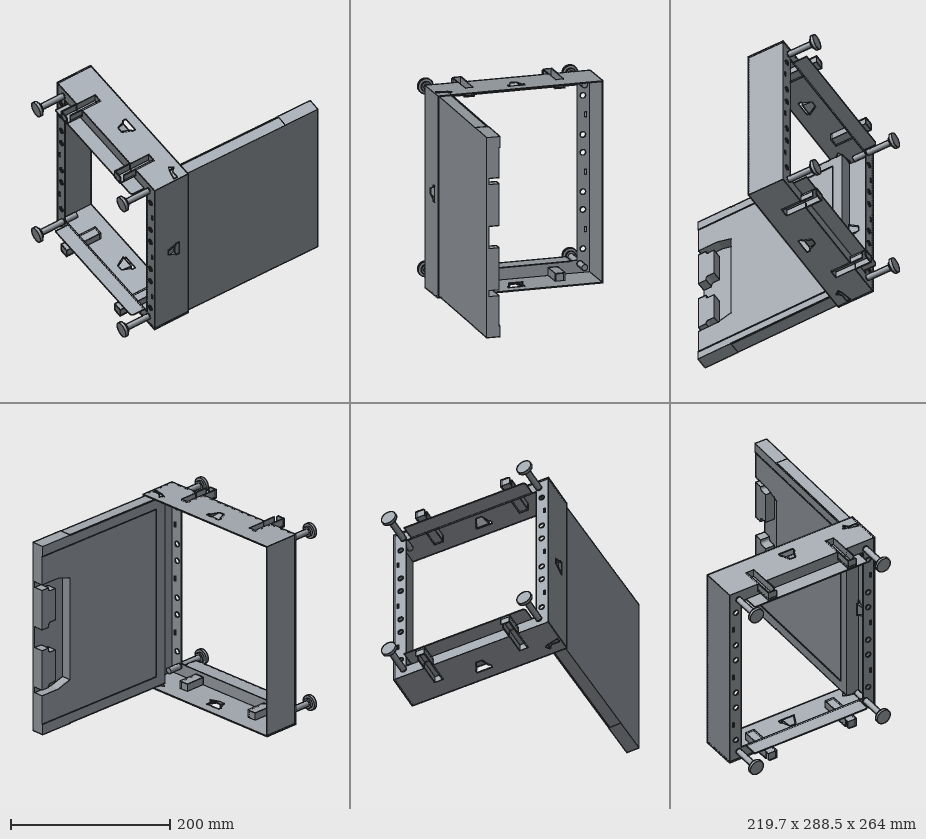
import cadquery as cq
import math

FRAME_WIDTH = 219.0
FRAME_HEIGHT = 264.0
FRAME_DEPTH = 51.3
SHEET = 1.3
RIM = 17.5
MID_X = FRAME_WIDTH / 2
MID_Z = FRAME_HEIGHT / 2

HOLE_DIAMETER = 7.2
HOLE_INSET = 9.8
HOLE_OFFSETS = (25.7, 49.0, 100.0)
SLOT_WIDTH = 2.3
SLOT_HEIGHT = 6.3
SLOT_INSET = 6.0
SLOT_PITCH = 75.0

TONGUE_LENGTH = 19.3
TONGUE_LEFT = 25.0
TONGUE_RIGHT = FRAME_WIDTH - 23.5
TONGUE_CORNER = 4.0

CLIP_SPACING = 120.0
CLIP_WIDTH = 13.0
CLIP_HEIGHT = 11.5
CLIP_FRONT = -23.0
CLIP_BACK = 29.0
CLIP_GAP = 4.5
CLIP_CORNER = 2.0

LOUVER_HINGE_Y = 21.3
LOUVER_TIP_Y = 33.0
LOUVER_SLOT_BACK = 37.8
LOUVER_HINGE_WIDTH = 9.8
LOUVER_TIP_WIDTH = 19.0
LOUVER_SLOT_WIDTH = 21.3
LOUVER_DEPTH = 4.5

HINGE_HEAD = [(195.2, 37.5), (199.3, 43.0), (204.2, 37.2), (200.7, 35.0)]
HINGE_TAIL = [(200.7, 35.0), (204.2, 37.2), (215.5, 37.2), (215.5, 31.7)]

FOOT_INSET_X = 13.8
FOOT_INSET_Z = 12.7
SHANK_DIAMETER = 7.8
SHANK_INSIDE = 20.0
FOOT_REACH = 41.0
COLLAR_DIAMETER = 13.0
COLLAR_THICKNESS = 3.0
PAD_DIAMETER = 20.0
PAD_THICKNESS = 4.0

DOOR_LENGTH = 214.0
DOOR_THICKNESS = 17.5
DOOR_HEIGHT = FRAME_HEIGHT - 2 * SHEET
DOOR_ANGLE = 1.0
DOOR_RIGHT = 219.7
DOOR_BACK = 247.5
DOOR_BORDER = 14.5
PANEL_RECESS = 1.2
SIDE_STEP_WIDTH = 1.7
EDGE_STEP_DEPTH = 0.3

RECESS_LENGTH = 48.7
RECESS_STRAIGHT = 28.3
RECESS_HALF_HEIGHT = 77.0
RECESS_HALF_FLOOR = 70.6
RECESS_FLOOR = 3.2
GRIP_LENGTH = 23.5
GRIP_HEAD = 11.5
GRIP_OUTER = 69.2
GRIP_INNER = 14.5
GRIP_OUTER_STEP = 5.0
GRIP_INNER_STEP = 6.3
GRIP_FILLET = 3.5


def box(x0, x1, y0, y1, z0, z1):
    """Box between two opposite corners."""
    return cq.Workplane("XY").box(x1 - x0, y1 - y0, z1 - z0, centered=False).translate((x0, y0, z0))


def mirrored_down(shape):
    """The same feature on the bottom of the frame, mirrored about mid-height."""
    return shape.mirror("XY", (0, 0, MID_Z))


def turned_over(shape):
    """The same feature on the bottom of the frame, turned half round about the frame's Y axis."""
    return shape.rotate((MID_X, 0, MID_Z), (MID_X, 1, MID_Z), 180)


def frame_shell():
    """Four walls open at the back, with a flange all round the front."""
    outer = box(0, FRAME_WIDTH, 0, FRAME_DEPTH, 0, FRAME_HEIGHT)
    inside = box(SHEET, FRAME_WIDTH - SHEET, SHEET, FRAME_DEPTH, SHEET, FRAME_HEIGHT - SHEET)
    opening = box(RIM, FRAME_WIDTH - RIM, 0, SHEET, RIM, FRAME_HEIGHT - RIM)
    return outer.cut(inside).cut(opening)


def flange_holes():
    """Round holes and small slots through both side flanges."""
    cuts = cq.Workplane("XY")
    for side in (-1, 1):
        hole_x = MID_X + side * (MID_X - HOLE_INSET)
        slot_x = MID_X + side * (MID_X - SLOT_INSET)
        for offset in HOLE_OFFSETS:
            for z in (MID_Z - offset, MID_Z + offset):
                hole = cq.Workplane("XZ", origin=(hole_x, SHEET, z)).circle(HOLE_DIAMETER / 2).extrude(SHEET)
                cuts = cuts.add(hole)
        for step in (-1, 0, 1):
            slot = cq.Workplane("XY").box(SLOT_WIDTH, 2 * SHEET, SLOT_HEIGHT)
            cuts = cuts.add(slot.translate((slot_x, SHEET / 2, MID_Z + step * SLOT_PITCH)))
    return cuts.combine()


def top_tongue():
    """Flat lip reaching forward from the lower edge of the top rail."""
    z = FRAME_HEIGHT - RIM
    lip = box(TONGUE_LEFT, TONGUE_RIGHT, -TONGUE_LENGTH, SHEET, z, z + SHEET)
    return lip.edges("|Z and >X and <Y").fillet(TONGUE_CORNER)


def clip_body(x):
    """Outer block of a top clip centred on x."""
    half = CLIP_WIDTH / 2
    return box(x - half, x + half, CLIP_FRONT, CLIP_BACK, FRAME_HEIGHT - CLIP_HEIGHT, FRAME_HEIGHT)


def clip_hollow(x):
    """Inside of a top clip: open at the top, with a gap in the +X wall behind the end wall."""
    half = CLIP_WIDTH / 2
    floor = FRAME_HEIGHT - CLIP_HEIGHT + SHEET
    end = CLIP_FRONT + SHEET
    trough = box(x - half + SHEET, x + half - SHEET, end, CLIP_BACK - SHEET, floor, FRAME_HEIGHT)
    gap = box(x, x + half, end, end + CLIP_GAP, floor, FRAME_HEIGHT)
    corner = (
        cq.Workplane("XZ", origin=(x + half, end, FRAME_HEIGHT))
        .polyline([(0, 0), (-CLIP_CORNER, 0), (0, -CLIP_CORNER)])
        .close()
        .extrude(SHEET)
    )
    return trough.union(gap).union(corner)


def louver_wedge(inset):
    """Wedge deepening from the hinge to the tip of a top louver, its sides moved in by inset."""
    hinge_half = LOUVER_HINGE_WIDTH / 2 - inset
    tip_half = LOUVER_TIP_WIDTH / 2 - inset
    plan = [
        (MID_X - hinge_half, LOUVER_HINGE_Y),
        (MID_X + hinge_half, LOUVER_HINGE_Y),
        (MID_X + tip_half, LOUVER_TIP_Y),
        (MID_X - tip_half, LOUVER_TIP_Y),
    ]
    prism = cq.Workplane("XY", origin=(0, 0, FRAME_HEIGHT)).polyline(plan).close()
    prism = prism.extrude(-2 * LOUVER_DEPTH)
    profile = [
        (LOUVER_HINGE_Y, 0),
        (LOUVER_HINGE_Y, -SHEET),
        (LOUVER_TIP_Y, -SHEET - LOUVER_DEPTH),
        (LOUVER_TIP_Y, 0),
    ]
    slope = cq.Workplane("YZ", origin=(0, 0, FRAME_HEIGHT)).polyline(profile).close().extrude(FRAME_WIDTH)
    return prism.intersect(slope)


def louver_hollow():
    """Space above a top louver's flap, and the slot behind its tip."""
    half = LOUVER_SLOT_WIDTH / 2
    slot = box(
        MID_X - half, MID_X + half, LOUVER_TIP_Y, LOUVER_SLOT_BACK, FRAME_HEIGHT - SHEET, FRAME_HEIGHT
    )
    return louver_wedge(SHEET).translate((0, 0, SHEET)).union(slot)


def on_right_wall(shape):
    """Turn a top feature onto the right wall, at mid-height."""
    turned = shape.rotate((MID_X, 0, FRAME_HEIGHT), (MID_X, 1, FRAME_HEIGHT), 90)
    return turned.translate((MID_X, 0, MID_Z - FRAME_HEIGHT))


def hinge_opening():
    """Opening through the top plate over the door's front edge."""
    plane = cq.Workplane("XY", origin=(0, 0, FRAME_HEIGHT - SHEET))
    head = plane.polyline(HINGE_HEAD).close().extrude(SHEET)
    tail = plane.polyline(HINGE_TAIL).close().extrude(SHEET)
    return head.union(tail)


def screw_foot(x, z):
    """Shank through the front flange, with a collar and a round pad at its front end."""
    pad_back = -FOOT_REACH + PAD_THICKNESS
    collar_back = pad_back + COLLAR_THICKNESS

    def disc(diameter, front, back):
        return cq.Workplane("XZ", origin=(x, back, z)).circle(diameter / 2).extrude(back - front)

    shank = disc(SHANK_DIAMETER, pad_back, SHANK_INSIDE)
    collar = disc(COLLAR_DIAMETER, pad_back, collar_back)
    pad = disc(PAD_DIAMETER, -FOOT_REACH, pad_back)
    return shank.union(collar).union(pad)


def make_frame():
    frame = frame_shell().cut(flange_holes())
    tongue = top_tongue()
    frame = frame.union(tongue).union(mirrored_down(tongue))

    for x in (MID_X - CLIP_SPACING / 2, MID_X + CLIP_SPACING / 2):
        frame = frame.union(clip_body(x)).union(turned_over(clip_body(x)))
        frame = frame.cut(clip_hollow(x)).cut(turned_over(clip_hollow(x)))

    flap = louver_wedge(0)
    hollow = louver_hollow()
    for place in (lambda top: top, mirrored_down, on_right_wall):
        frame = frame.union(place(flap)).cut(place(hollow))

    frame = frame.cut(hinge_opening()).cut(mirrored_down(hinge_opening()))

    for x in (FOOT_INSET_X, FRAME_WIDTH - FOOT_INSET_X):
        for z in (FOOT_INSET_Z, FRAME_HEIGHT - FOOT_INSET_Z):
            frame = frame.union(screw_foot(x, z))
    return frame


def handle_recess():
    """Tapered pocket open at the far end of the door."""
    far = DOOR_LENGTH
    outline = [
        (far, RECESS_HALF_HEIGHT),
        (far - RECESS_STRAIGHT, RECESS_HALF_HEIGHT),
        (far - RECESS_LENGTH, RECESS_HALF_FLOOR),
        (far - RECESS_LENGTH, -RECESS_HALF_FLOOR),
        (far - RECESS_STRAIGHT, -RECESS_HALF_HEIGHT),
        (far, -RECESS_HALF_HEIGHT),
    ]
    return cq.Workplane("YZ").polyline(outline).close().extrude(DOOR_THICKNESS - RECESS_FLOOR)


def grip():
    """Upper grip: a wide head at the far end, rounded in to a narrower front part."""
    far = DOOR_LENGTH
    neck = far - GRIP_HEAD
    front = far - GRIP_LENGTH
    top = GRIP_OUTER - GRIP_OUTER_STEP
    bottom = GRIP_INNER + GRIP_INNER_STEP
    arc_reach = GRIP_FILLET * (1 - math.sqrt(0.5))
    return (
        cq.Workplane("YZ", origin=(PANEL_RECESS, 0, 0))
        .moveTo(far, GRIP_OUTER)
        .lineTo(neck, GRIP_OUTER)
        .lineTo(neck, top + GRIP_FILLET)
        .threePointArc((neck - arc_reach, top + arc_reach), (neck - GRIP_FILLET, top))
        .lineTo(front, top)
        .lineTo(front, bottom)
        .lineTo(neck - GRIP_FILLET, bottom)
        .threePointArc((neck - arc_reach, bottom - arc_reach), (neck, bottom - GRIP_FILLET))
        .lineTo(neck, GRIP_INNER)
        .lineTo(far, GRIP_INNER)
        .close()
        .extrude(DOOR_THICKNESS - RECESS_FLOOR - PANEL_RECESS)
    )


def make_door():
    half = DOOR_HEIGHT / 2
    door = box(0, DOOR_THICKNESS, 0, DOOR_LENGTH, -half, half)

    panel_half = half - DOOR_BORDER
    door = door.cut(box(0, PANEL_RECESS, DOOR_BORDER, DOOR_LENGTH, -panel_half, panel_half))

    step_end = DOOR_LENGTH - RECESS_LENGTH
    edge_step = box(0, DOOR_THICKNESS, 0, step_end, half - EDGE_STEP_DEPTH, half)
    side_step = box(0, SIDE_STEP_WIDTH, 0, step_end, half - 2 * EDGE_STEP_DEPTH, half)
    steps = edge_step.union(side_step)
    door = door.cut(steps).cut(steps.mirror("XY"))

    door = door.cut(handle_recess())
    door = door.union(grip()).union(grip().mirror("XY"))

    lean = math.radians(DOOR_ANGLE)
    front_x = DOOR_RIGHT - DOOR_LENGTH * math.sin(lean) - DOOR_THICKNESS * math.cos(lean)
    front_y = DOOR_BACK - DOOR_LENGTH * math.cos(lean)
    return door.rotate((0, 0, 0), (0, 0, 1), -DOOR_ANGLE).translate((front_x, front_y, MID_Z))


frame = make_frame()
door = make_door()
result = cq.Compound.makeCompound([frame.val(), door.val()])